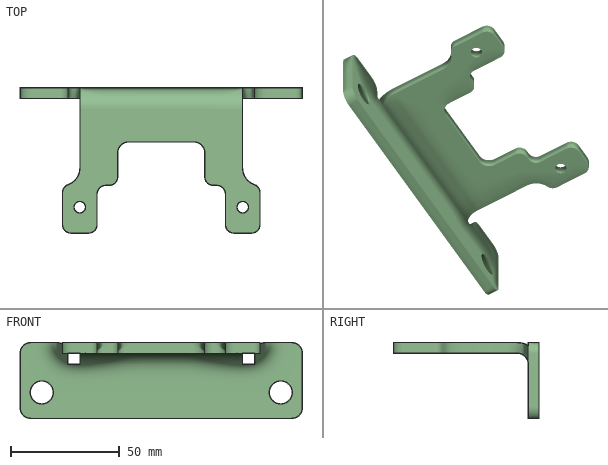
import cadquery as cq
import math

thickness = 5.0
bend_inner_radius = 5.0
bend_outer_radius = bend_inner_radius + thickness

plate_width = 130.0
plate_height = 35.0
plate_corner_radius = 5.0
plate_hole_diameter = 10.5
plate_hole_spacing = 110.0
plate_hole_height = 12.0

notch_width = 86.0
notch_floor = plate_height - bend_outer_radius

shelf_width = 75.0
shelf_reach = 67.0
slot_width = 40.0
slot_end = 25.0
slot_corner_radius = 5.0
step_reach = 45.0

foot_width = 16.0
foot_radius = 4.0
foot_hole_diameter = 5.2
foot_hole_reach = 55.0

flare_start = 37.0
flare_radius = 8.0


def make_plate():
    """Upright plate with rounded corners, a top notch and two mounting holes."""
    half_width = plate_width / 2
    half_notch = notch_width / 2
    outline = [
        (-half_width, 0),
        (half_width, 0),
        (half_width, plate_height),
        (half_notch, plate_height),
        (half_notch, notch_floor),
        (-half_notch, notch_floor),
        (-half_notch, plate_height),
        (-half_width, plate_height),
    ]
    plate = cq.Workplane("XZ").polyline(outline).close().extrude(thickness)
    rounded_x = (-half_width, -half_notch, half_notch, half_width)
    corners = [(x, plate_height) for x in rounded_x]
    corners += [(-half_width, 0), (half_width, 0)]
    for x, z in corners:
        edge = cq.selectors.NearestToPointSelector((x, -thickness / 2, z))
        plate = plate.edges("|Y").edges(edge).fillet(plate_corner_radius)
    hole_x = plate_hole_spacing / 2
    holes = (
        cq.Workplane("XZ")
        .pushPoints([(-hole_x, plate_hole_height), (hole_x, plate_hole_height)])
        .circle(plate_hole_diameter / 2)
        .extrude(thickness)
    )
    return plate.cut(holes)


def make_bend():
    """Quarter-round bend joining the plate to the shelf."""
    diagonal = math.sqrt(0.5)
    center_y = -bend_outer_radius
    return (
        cq.Workplane("YZ", origin=(-shelf_width / 2, 0, 0))
        .moveTo(0, notch_floor)
        .threePointArc(
            (center_y + bend_outer_radius * diagonal, notch_floor + bend_outer_radius * diagonal),
            (center_y, plate_height),
        )
        .lineTo(center_y, plate_height - thickness)
        .threePointArc(
            (center_y + bend_inner_radius * diagonal, notch_floor + bend_inner_radius * diagonal),
            (-thickness, notch_floor),
        )
        .close()
        .extrude(shelf_width)
    )


def make_half_shelf():
    """The +X half of the flat shelf, with its foot and half of the slot."""
    side = shelf_width / 2
    foot_outer = side + foot_width / 2
    foot_inner = side - foot_width / 2
    slot_side = slot_width / 2

    radius_sum = flare_radius + foot_radius
    turn = math.acos(1 - (foot_outer - side) / radius_sum)
    flare_end = flare_start + radius_sum * math.sin(turn)

    def flare_point(angle):
        x = side + flare_radius * (1 - math.cos(angle))
        return x, -flare_start - flare_radius * math.sin(angle)

    def shoulder_point(angle):
        x = foot_outer - foot_radius * (1 - math.cos(angle))
        return x, -flare_end + foot_radius * math.sin(angle)

    shelf = (
        cq.Workplane("XY", origin=(0, 0, plate_height - thickness))
        .moveTo(0, -bend_outer_radius)
        .lineTo(side, -bend_outer_radius)
        .lineTo(side, -flare_start)
        .threePointArc(flare_point(turn / 2), flare_point(turn))
        .threePointArc(shoulder_point(turn / 2), (foot_outer, -flare_end))
        .lineTo(foot_outer, -shelf_reach)
        .lineTo(foot_inner, -shelf_reach)
        .lineTo(foot_inner, -step_reach)
        .lineTo(slot_side, -step_reach)
        .lineTo(slot_side, -slot_end)
        .lineTo(0, -slot_end)
        .close()
        .extrude(thickness)
    )
    rounded_corners = [
        (foot_outer, shelf_reach, foot_radius),
        (foot_inner, shelf_reach, foot_radius),
        (foot_inner, step_reach, foot_radius),
        (slot_side, step_reach, foot_radius),
        (slot_side, slot_end, slot_corner_radius),
    ]
    for x, reach, radius in rounded_corners:
        edge = cq.selectors.NearestToPointSelector((x, -reach, plate_height - thickness / 2))
        shelf = shelf.edges("|Z").edges(edge).fillet(radius)
    hole = (
        cq.Workplane("XY", origin=(side, -foot_hole_reach, plate_height - thickness))
        .circle(foot_hole_diameter / 2)
        .extrude(thickness)
    )
    return shelf.cut(hole)


half_shelf = make_half_shelf()
shelf = half_shelf.union(half_shelf.mirror("YZ"))
result = make_plate().union(make_bend()).union(shelf).clean()